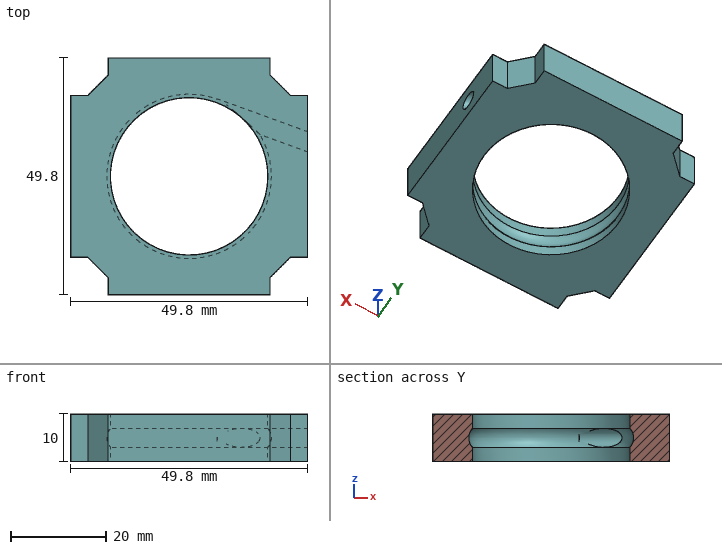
import cadquery as cq

side = 49.8
thickness = 10.0
mid_height = thickness / 2

corner_cut = 7.85
notch_ledge = 3.65

bore_diameter = 33.0
bore_radius = bore_diameter / 2
feed_diameter = 4.0
feed_radius = feed_diameter / 2

race_radius = 3.0
race_center_radius = 14.3

feed_angle = 70
feed_axis_radius = 15.35
feed_length = 34.85


def corner_notch():
    """Cutter for the +X +Y corner: a square with its inner corner bevelled."""
    outer = side / 2
    inner = outer - corner_cut
    bevel_end = outer - notch_ledge
    return (
        cq.Workplane("XY")
        .polyline([(outer, outer), (inner, outer), (inner, bevel_end), (bevel_end, inner), (outer, inner)])
        .close()
        .extrude(thickness)
    )


def ball_race():
    """Ring groove of round section in the bore wall at mid height."""
    return (
        cq.Workplane("XZ")
        .center(race_center_radius, mid_height)
        .circle(race_radius)
        .revolve(360, (-race_center_radius, 0), (-race_center_radius, 1))
    )


def feed_hole():
    """Straight tangent hole that leads clockwise from the race out through the +X side."""
    return (
        cq.Workplane("XZ", origin=(feed_axis_radius, 0, mid_height))
        .circle(feed_radius)
        .extrude(feed_length)
        .rotate((0, 0, 0), (0, 0, 1), feed_angle)
    )


plate = cq.Workplane("XY").rect(side, side).extrude(thickness)
for quarter in range(4):
    plate = plate.cut(corner_notch().rotate((0, 0, 0), (0, 0, 1), 90 * quarter))

bore = cq.Workplane("XY").circle(bore_radius).extrude(thickness)
result = plate.cut(bore).cut(ball_race()).cut(feed_hole())